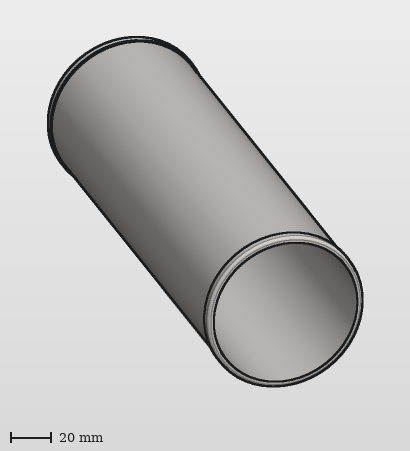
import cadquery as cq

total_length = 246.89
bore_diameter = 74.61
tube_diameter = 79.45
collar_diameter = 80.98
collar_width = 5.4
collar_end_radius = 1.6

half_length = total_length / 2
x_axis_plane = cq.Workplane("YZ")


def cylinder_along_x(diameter, length, start_x):
    """Solid cylinder on the X axis, from start_x towards +X."""
    return x_axis_plane.workplane(offset=start_x).circle(diameter / 2).extrude(length)


def end_collar(start_x, outer_face):
    """Raised band with a rounded rim on the face that ends the part."""
    collar = cylinder_along_x(collar_diameter, collar_width, start_x)
    return collar.faces(outer_face).edges().fillet(collar_end_radius)


body = cylinder_along_x(tube_diameter, total_length - 2 * collar_width, collar_width - half_length)

near_collar = end_collar(-half_length, "<X")
far_collar = end_collar(half_length - collar_width, ">X")

bore = cylinder_along_x(bore_diameter, total_length, -half_length)

result = body.union(near_collar).union(far_collar).cut(bore)